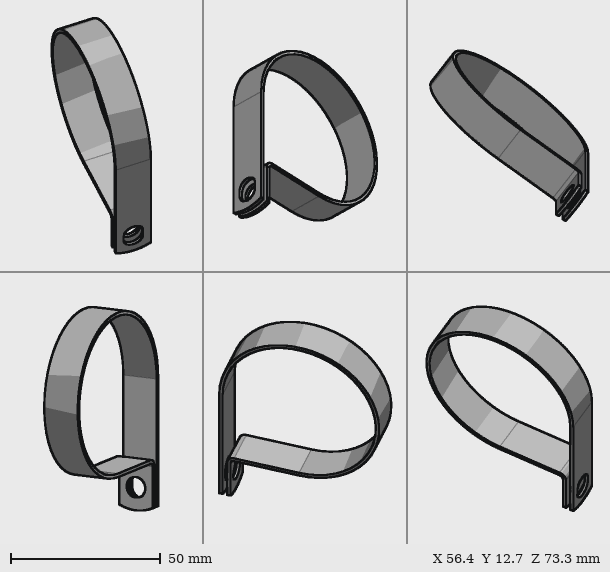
import cadquery as cq
import math

LOOP_DIAMETER = 56.4
TOTAL_HEIGHT = 73.35
WIDTH = 12.7
THICKNESS = 1.25
TAB_GAP = 1.55
BEND_INNER_RADIUS = 1.25
HOLE_DIAMETER = 7.05
SLOT_LENGTH = 9.0
HOLE_ABOVE_TIP = 7.9
TIP_BULGE = 1.4

outer_radius = LOOP_DIAMETER / 2
inner_radius = outer_radius - THICKNESS
bend_outer_radius = BEND_INNER_RADIUS + THICKNESS
tip_z = outer_radius - TOTAL_HEIGHT
short_tab_right = inner_radius - TAB_GAP
short_tab_left = short_tab_right - THICKNESS
bend_x = short_tab_right - bend_outer_radius
bend_z = -inner_radius - bend_outer_radius


def bend_middle(radius):
    """Point halfway round the bend between the loop and the short tab."""
    offset = radius * math.sqrt(0.5)
    return (bend_x + offset, bend_z + offset)


def make_strap():
    """Bent strap profile extruded across its width."""
    loop_middle = -math.sqrt(0.5)
    return (
        cq.Workplane("XZ")
        .moveTo(outer_radius, tip_z)
        .lineTo(outer_radius, 0)
        .threePointArc((loop_middle * outer_radius, -loop_middle * outer_radius), (0, -outer_radius))
        .lineTo(bend_x, -outer_radius)
        .threePointArc(bend_middle(BEND_INNER_RADIUS), (short_tab_left, bend_z))
        .lineTo(short_tab_left, tip_z)
        .lineTo(short_tab_right, tip_z)
        .lineTo(short_tab_right, bend_z)
        .threePointArc(bend_middle(bend_outer_radius), (bend_x, -inner_radius))
        .lineTo(0, -inner_radius)
        .threePointArc((loop_middle * inner_radius, -loop_middle * inner_radius), (inner_radius, 0))
        .lineTo(inner_radius, tip_z)
        .close()
        .extrude(WIDTH / 2, both=True)
    )


def make_side_outline():
    """Strap silhouette along X, with its rounded lower end."""
    half_width = WIDTH / 2
    shoulder_z = tip_z + TIP_BULGE
    return (
        cq.Workplane("YZ")
        .moveTo(-half_width, outer_radius)
        .lineTo(-half_width, shoulder_z)
        .threePointArc((0, tip_z), (half_width, shoulder_z))
        .lineTo(half_width, outer_radius)
        .close()
        .extrude(outer_radius, both=True)
    )


def tab_workplane(tab_left):
    """Plane on a tab's left face, centred on its bolt opening."""
    return cq.Workplane("YZ", origin=(tab_left, 0, tip_z + HOLE_ABOVE_TIP))


def make_hole_cutter():
    """Round bolt hole through the short tab."""
    return tab_workplane(short_tab_left).circle(HOLE_DIAMETER / 2).extrude(THICKNESS)


def make_slot_cutter():
    """Upright slot through the long tab, as wide as the bolt hole."""
    return tab_workplane(inner_radius).slot2D(SLOT_LENGTH, HOLE_DIAMETER, 90).extrude(THICKNESS)


result = (
    make_strap()
    .intersect(make_side_outline())
    .cut(make_hole_cutter())
    .cut(make_slot_cutter())
)